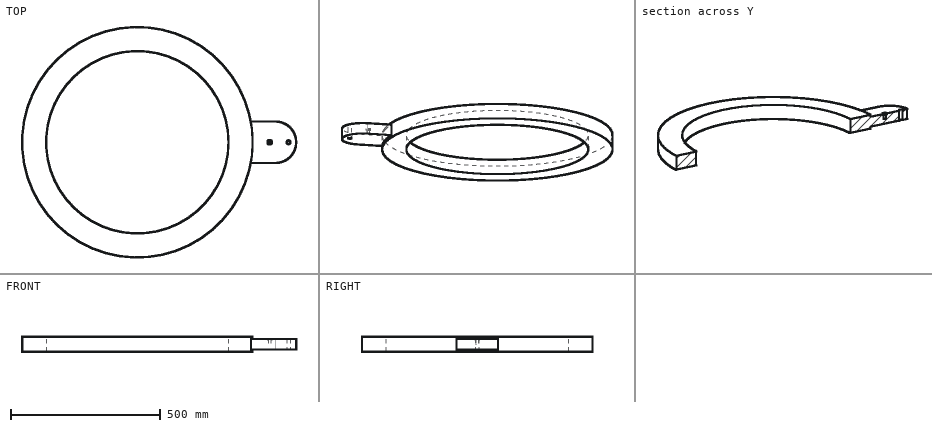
import cadquery as cq

ring_diameter = 772.0
ring_bore_diameter = 609.0
ring_thickness = 50.5

overall_length = 918.0
tab_width = 139.5
tab_thickness = 37.0

through_hole_diameter = 12.0
through_hole_edge_distance = 26.0
hole_spacing = 63.0

counterbore_diameter = 16.0
counterbore_depth = 4.0
pilot_hole_diameter = 8.0
pilot_hole_depth = tab_thickness / 2

ring_radius = ring_diameter / 2
tab_end_x = overall_length - ring_radius
tab_arc_centre_x = tab_end_x - tab_width / 2
tab_root_x = (ring_diameter + ring_bore_diameter) / 4
tab_top_z = tab_thickness / 2
through_hole_x = tab_end_x - through_hole_edge_distance
stepped_hole_x = through_hole_x - hole_spacing


def make_ring():
    return (
        cq.Workplane("XY")
        .circle(ring_radius)
        .circle(ring_bore_diameter / 2)
        .extrude(ring_thickness / 2, both=True)
    )


def make_tab():
    half_width = tab_width / 2
    return (
        cq.Workplane("XY")
        .moveTo(tab_root_x, -half_width)
        .lineTo(tab_arc_centre_x, -half_width)
        .threePointArc((tab_end_x, 0), (tab_arc_centre_x, half_width))
        .lineTo(tab_root_x, half_width)
        .close()
        .extrude(tab_thickness / 2, both=True)
    )


def tab_hole_cutter(x, diameter, depth):
    return (
        cq.Workplane("XY", origin=(x, 0, tab_top_z))
        .circle(diameter / 2)
        .extrude(-depth)
    )


result = (
    make_ring()
    .union(make_tab())
    .cut(tab_hole_cutter(through_hole_x, through_hole_diameter, tab_thickness))
    .cut(tab_hole_cutter(stepped_hole_x, counterbore_diameter, counterbore_depth))
    .cut(tab_hole_cutter(stepped_hole_x, pilot_hole_diameter, pilot_hole_depth))
)